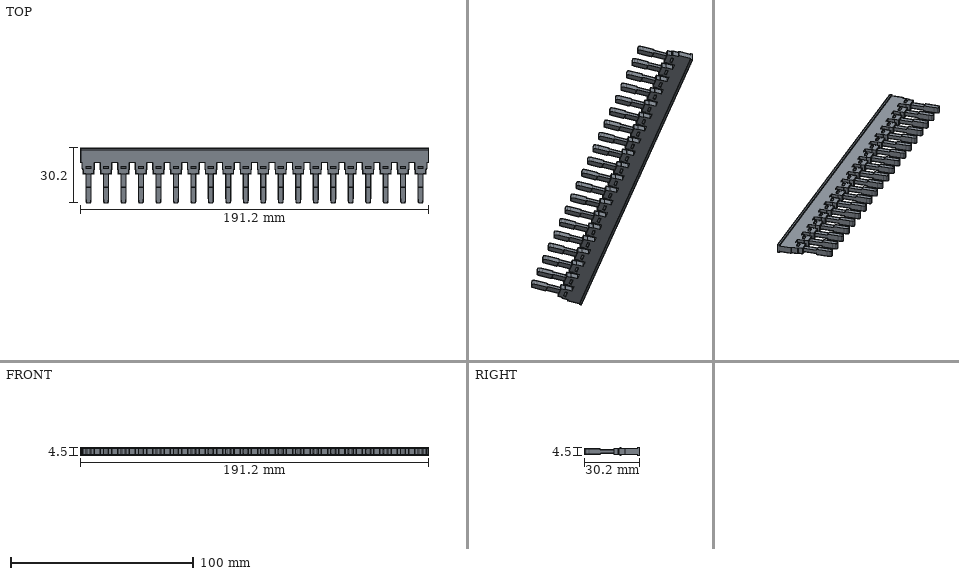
import cadquery as cq

length = 191.2
depth = 30.2
height = 4.5

pin_count = 20
end_margin = 4.4
pitch = (length - 2 * end_margin) / (pin_count - 1)

body_thickness = 3.5
lip_depth = 1.1
strip_depth = 8.0
tooth_width = 6.5
tooth_step_depth = 11.9
tooth_tip_width = 6.0
tooth_depth = 14.1

shoulder_inset = 0.8
shoulder_depth = 11.3

latch_width = 2.9
latch_peak_depth = 10.1
latch_foot_depth = 11.3

pin_width = 2.9
neck_thickness = 2.1
contact_start_depth = 21.5
contact_ramp = 0.4
contact_thickness = 3.3
taper_start_depth = 27.7
pin_end_width = 2.5
pin_end_radius = 0.8

back_y = depth / 2
strip_y = back_y - strip_depth
tooth_step_y = back_y - tooth_step_depth
tooth_y = back_y - tooth_depth
first_x = end_margin - length / 2
pin_y = -depth / 2


def block(width, thickness, y_front, y_back):
    """Box centred on X and Z that spans y_front to y_back."""
    return cq.Workplane("XY").box(width, y_back - y_front, thickness).translate((0, (y_front + y_back) / 2, 0))


def side_profile(points, width):
    """Extrude a (Y, Z) outline along X, centred on X."""
    return cq.Workplane("YZ").polyline(points).close().extrude(width / 2, both=True)


def make_strip():
    lip = block(length, height, back_y - lip_depth, back_y)
    return block(length, body_thickness, strip_y, back_y).union(lip)


def make_tooth():
    root = block(tooth_width, body_thickness, tooth_step_y, strip_y)
    tip = block(tooth_tip_width, body_thickness, tooth_y, tooth_step_y)
    peak_y = back_y - latch_peak_depth
    foot_y = back_y - latch_foot_depth
    latches = side_profile(
        [
            (peak_y, height / 2),
            (foot_y, body_thickness / 2),
            (foot_y, -body_thickness / 2),
            (peak_y, -height / 2),
        ],
        latch_width,
    )
    return root.union(tip).union(latches)


def make_end_shoulders():
    width = end_margin - shoulder_inset
    shoulder = block(width, body_thickness, back_y - shoulder_depth, strip_y)
    left = shoulder.translate((first_x - width / 2, 0, 0))
    return left.union(left.mirror("YZ"))


def make_pin():
    neck_z = neck_thickness / 2
    contact_z = contact_thickness / 2
    ramp_y = back_y - contact_start_depth
    contact_y = ramp_y - contact_ramp
    thickness_shape = side_profile(
        [
            (tooth_y, neck_z),
            (ramp_y, neck_z),
            (contact_y, contact_z),
            (pin_y, contact_z),
            (pin_y, -contact_z),
            (contact_y, -contact_z),
            (ramp_y, -neck_z),
            (tooth_y, -neck_z),
        ],
        pin_width,
    )
    taper_y = back_y - taper_start_depth
    outline = (
        cq.Workplane("XY")
        .polyline(
            [
                (-pin_width / 2, tooth_y),
                (pin_width / 2, tooth_y),
                (pin_width / 2, taper_y),
                (pin_end_width / 2, pin_y),
                (-pin_end_width / 2, pin_y),
                (-pin_width / 2, taper_y),
            ]
        )
        .close()
        .extrude(height / 2, both=True)
        .edges("|Z and <Y")
        .fillet(pin_end_radius)
    )
    return thickness_shape.intersect(outline)


finger = make_tooth().union(make_pin())
result = make_strip().union(make_end_shoulders())
for index in range(pin_count):
    result = result.union(finger.translate((first_x + index * pitch, 0, 0)))